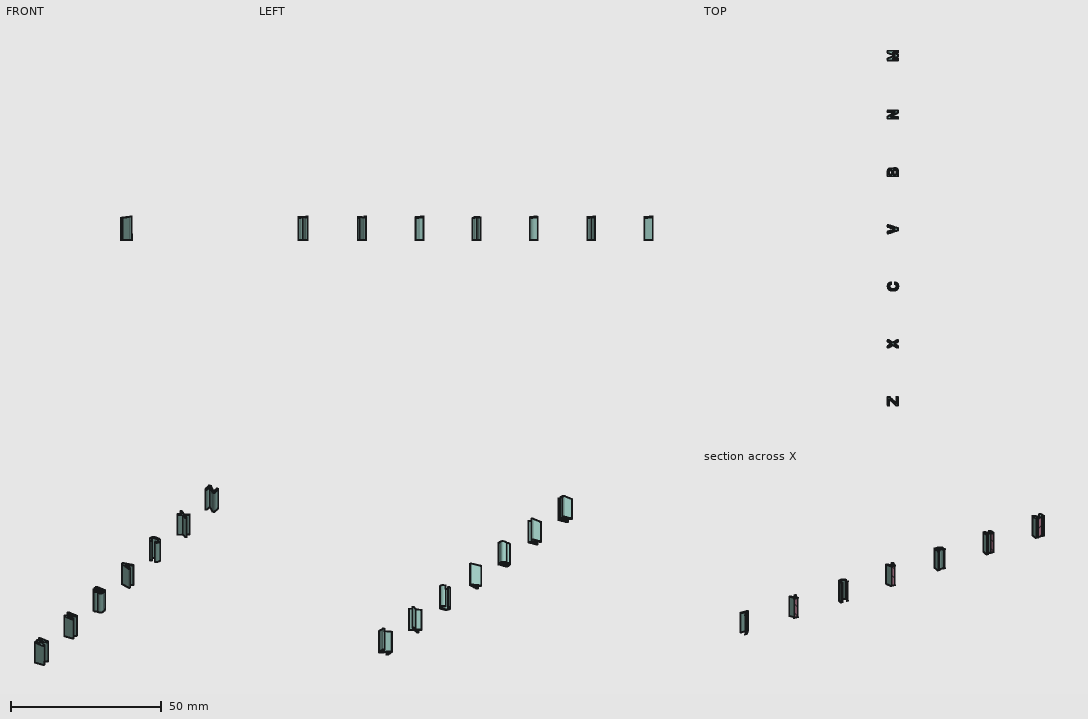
import cadquery as cq


row_length = 117.9
pin_height = 7.9
letter_height = 3.5
round_height = 3.7

stem = 0.65
diagonal = 0.77
bar = 0.65
corner_radius = 0.2

z_width = 3.0
x_width = 3.1
c_width = 2.8
v_width = 3.1
b_width = 2.8
n_width = 2.8
m_width = 3.3

c_opening = 1.1
b_waist = 0.1
b_upper_inset = 0.1

rise_x = 0.13
rise_y = 0.06

z_y = (z_width - row_length) / 2
x_y = -38.5
c_y = -19.3
v_y = -0.4
b_y = 18.6
n_y = 37.7
m_y = (row_length - m_width) / 2

cap_line = round_height / 2
baseline = cap_line - letter_height
mid_top = pin_height + rise_x * baseline - rise_y * m_width / 2


def stroke(foot, head, width, low=baseline, high=cap_line):
    """Straight stroke between two levels, cut level at both ends."""
    half = width / 2
    return (
        cq.Workplane("XY")
        .moveTo(foot - half, low)
        .lineTo(foot + half, low)
        .lineTo(head + half, high)
        .lineTo(head - half, high)
        .close()
        .extrude(pin_height)
    )


def round_ends(letter, corners):
    """Round the upright edges that the selector picks."""
    return letter.edges("|Z").edges(corners).fillet(corner_radius)


def level_bar(width, low):
    """Horizontal bar, centred on the letter."""
    return cq.Workplane("XY").center(0, low + bar / 2).rect(width, bar).extrude(pin_height)


def letter_z():
    reach = (z_width - diagonal) / 2
    low = baseline + bar
    high = cap_line - bar
    slant = stroke(-reach, reach, diagonal, low, high)
    body = slant.union(level_bar(z_width, baseline)).union(level_bar(z_width, high))
    return round_ends(body, "<X or >X")


def letter_x():
    reach = (x_width - diagonal) / 2
    cross = stroke(-reach, reach, diagonal).union(stroke(reach, -reach, diagonal))
    return round_ends(cross, "<Y or >Y")


def letter_c():
    upright = 90
    outer = cq.Workplane("XY").slot2D(round_height, c_width, upright).extrude(pin_height)
    inner = (
        cq.Workplane("XY")
        .slot2D(round_height - 2 * stem, c_width - 2 * stem, upright)
        .extrude(pin_height)
    )
    gap = cq.Workplane("XY").center(c_width / 2, 0).rect(c_width, c_opening).extrude(pin_height)
    right_half = cq.selectors.BoxSelector(
        (0, -round_height, 0),
        (c_width, round_height, pin_height),
    )
    return round_ends(outer.cut(inner).cut(gap), right_half)


def vee(width):
    """Two slanting strokes that meet at the baseline."""
    reach = (width - diagonal) / 2
    return stroke(0, -reach, diagonal).union(stroke(0, reach, diagonal))


def letter_v():
    return round_ends(vee(v_width), "<Y or >Y")


def bowl(left, right, low, high):
    """D-shaped prism with a half-round right side."""
    radius = (high - low) / 2
    return (
        cq.Workplane("XY")
        .moveTo(left, low)
        .lineTo(right - radius, low)
        .threePointArc((right, low + radius), (right - radius, high))
        .lineTo(left, high)
        .close()
        .extrude(pin_height)
    )


def letter_b():
    left = -b_width / 2
    lower_right = b_width / 2
    upper_right = lower_right - b_upper_inset
    waist_low = b_waist - bar / 2
    waist_high = b_waist + bar / 2
    body = bowl(left, lower_right, baseline, waist_high)
    body = body.union(bowl(left, upper_right, waist_low, cap_line))
    lower_hole = bowl(left + stem, lower_right - stem, baseline + bar, waist_low)
    upper_hole = bowl(left + stem, upper_right - stem, waist_high, cap_line - bar)
    return round_ends(body.cut(lower_hole).cut(upper_hole), "<X")


def stem_pair(width):
    """Two upright stems at the sides of a letter."""
    reach = (width - stem) / 2
    return stroke(-reach, -reach, stem).union(stroke(reach, reach, stem))


def letter_n():
    reach = (n_width - diagonal) / 2
    body = stem_pair(n_width).union(stroke(reach, -reach, diagonal))
    return round_ends(body, "<Y or >Y")


def letter_m():
    return round_ends(stem_pair(m_width).union(vee(m_width)), "<Y or >Y")


def place(letter, y):
    """Turn a letter to read along +Y, slope its top and move it to its place in the row."""
    slope = cq.Plane(
        origin=(0, 0, mid_top),
        xDir=(1, 0, rise_x),
        normal=(-rise_x, rise_y, 1),
    )
    above = cq.Workplane(slope).rect(2 * round_height, 2 * round_height).extrude(pin_height)
    turned = letter.rotate((0, 0, 0), (0, 0, 1), 90)
    return turned.cut(above).translate((0, y, 0))


pin_z = place(letter_z(), z_y)
pin_x = place(letter_x(), x_y)
pin_c = place(letter_c(), c_y)
pin_v = place(letter_v(), v_y)
pin_b = place(letter_b(), b_y)
pin_n = place(letter_n(), n_y)
pin_m = place(letter_m(), m_y)

pins = [pin_z, pin_x, pin_c, pin_v, pin_b, pin_n, pin_m]
result = cq.Compound.makeCompound([pin.solids().val() for pin in pins])